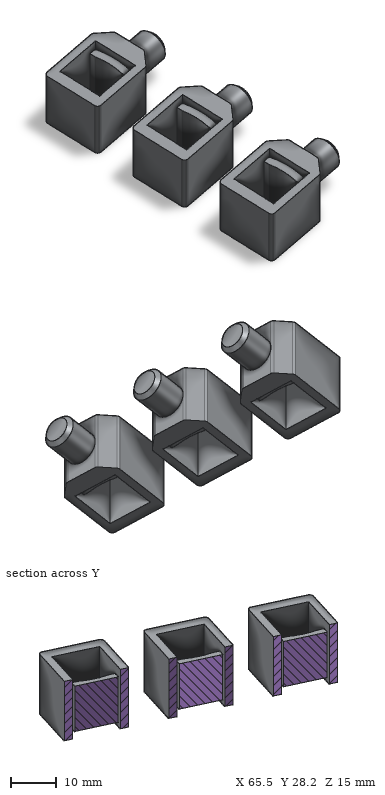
import cadquery as cq
import math

row_length = 65.5
clamp_count = 3
cage_width = 15.45
pitch = (row_length - cage_width) / (clamp_count - 1)

total_depth = 28.2
stud_length = 8.5
cage_depth = total_depth - stud_length
cage_height = 15.0
shoulder_chamfer = 3.5
corner_radius = 1.0

side_wall = 2.0
front_wall = 2.95
shoulder_wall = 4.7
window_width = cage_width - 2 * side_wall
window_depth = cage_depth - front_wall - shoulder_wall
window_back = cage_depth - shoulder_wall

stud_diameter = 7.85
stud_chamfer = 1.0

plate_width = 10.5
plate_thickness = 2.0
plate_height = 11.45
plate_outer_radius = 20.0
plate_inner_radius = plate_outer_radius - plate_thickness
plate_gap = 0.05
plate_foot_width = 1.5


def make_cage():
    """Cage with a chamfered shoulder, an open window and a stud, centred on X and Z."""
    half_width = cage_width / 2
    shoulder_half_width = half_width - shoulder_chamfer
    shoulder_start = cage_depth - shoulder_chamfer
    block = (
        cq.Workplane("XY")
        .polyline([
            (-half_width, 0),
            (half_width, 0),
            (half_width, shoulder_start),
            (shoulder_half_width, cage_depth),
            (-shoulder_half_width, cage_depth),
            (-half_width, shoulder_start),
        ])
        .close()
        .extrude(cage_height / 2, both=True)
        .edges("|Z")
        .fillet(corner_radius)
    )
    window = (
        cq.Workplane("XY")
        .center(0, front_wall + window_depth / 2)
        .rect(window_width, window_depth)
        .extrude(cage_height / 2, both=True)
    )
    stud = (
        cq.Workplane("XZ", origin=(0, cage_depth, 0))
        .circle(stud_diameter / 2)
        .extrude(-stud_length)
        .faces(">Y")
        .chamfer(stud_chamfer)
    )
    return block.cut(window).union(stud)


def make_plate():
    """Arched plate with a flat foot along each side of its hollow face."""
    half_width = plate_width / 2
    hollow_half_width = half_width - plate_foot_width
    crown = window_back - plate_gap
    hollow_crown = crown - plate_thickness
    arc_center = crown - plate_outer_radius
    outer_end = arc_center + math.sqrt(plate_outer_radius**2 - half_width**2)
    foot = arc_center + math.sqrt(plate_inner_radius**2 - hollow_half_width**2)
    return (
        cq.Workplane("XY")
        .moveTo(-half_width, outer_end)
        .threePointArc((0, crown), (half_width, outer_end))
        .lineTo(half_width, foot)
        .lineTo(hollow_half_width, foot)
        .threePointArc((0, hollow_crown), (-hollow_half_width, foot))
        .lineTo(-half_width, foot)
        .close()
        .extrude(plate_height / 2, both=True)
    )


cage = make_cage()
plate = make_plate()
bodies = []
for index in range(clamp_count):
    offset = cq.Vector((index - (clamp_count - 1) / 2) * pitch, 0, 0)
    bodies.append(cage.val().translate(offset))
    bodies.append(plate.val().translate(offset))

result = cq.Compound.makeCompound(bodies)